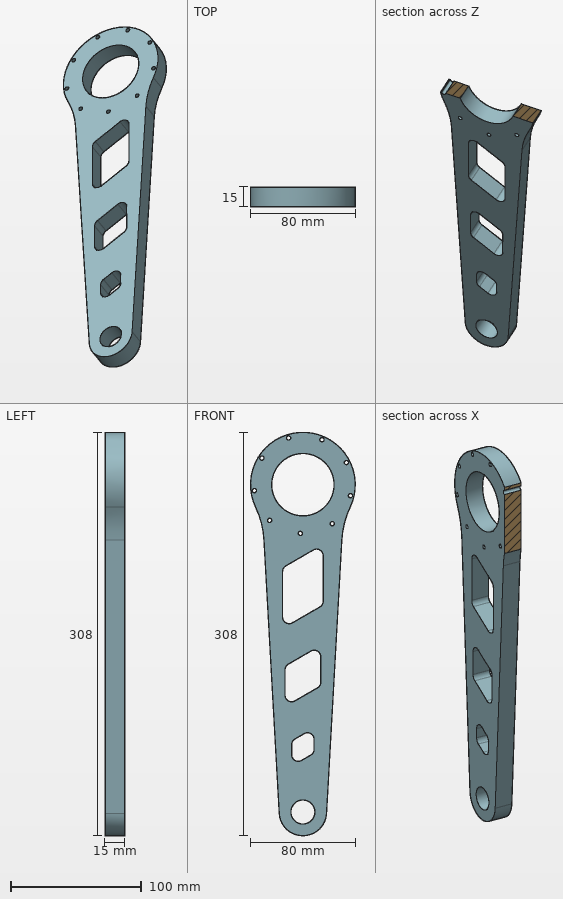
import cadquery as cq
import math

total_length = 308.0
thickness = 15.0
head_radius = 40.0
bore_radius = 23.7
end_radius = 18.2
end_hole_radius = 9.1
end_z = head_radius + end_radius - total_length

taper = math.radians(3.2)
blend_radius = 66.5

ring_hole_count = 9
ring_radius = 37.3
ring_hole_radius = 1.5
ring_start_angle = -93.0

windows = [(-77.5, 30.8, 46.2), (-146.0, 27.0, 30.8), (-200.2, 17.0, 19.0)]
window_slant = math.radians(30)
window_corner_radius = 5.0


def arm_outline():
    """Closed outline of head, blends, tapered arm and rounded end."""
    cos_t = math.cos(taper)
    sin_t = math.sin(taper)
    side_offset = end_radius - end_z * sin_t
    blend_offset = side_offset + blend_radius
    centre_distance = head_radius + blend_radius
    blend_along = -math.sqrt(centre_distance**2 - blend_offset**2)
    blend_x = blend_offset * cos_t + blend_along * sin_t
    blend_z = -blend_offset * sin_t + blend_along * cos_t

    head_x = blend_x * head_radius / centre_distance
    head_z = blend_z * head_radius / centre_distance
    arm_x = blend_x - blend_radius * cos_t
    arm_z = blend_z + blend_radius * sin_t
    foot_x = end_radius * cos_t
    foot_z = end_z - end_radius * sin_t

    head_side_angle = math.atan2(-blend_z, blend_x)
    mid_angle = (head_side_angle + taper) / 2
    mid_x = blend_x - blend_radius * math.cos(mid_angle)
    mid_z = blend_z + blend_radius * math.sin(mid_angle)

    return (
        cq.Workplane("XZ")
        .moveTo(head_x, head_z)
        .threePointArc((0, head_radius), (-head_x, head_z))
        .threePointArc((-mid_x, mid_z), (-arm_x, arm_z))
        .lineTo(-foot_x, foot_z)
        .threePointArc((0, end_z - end_radius), (foot_x, foot_z))
        .lineTo(arm_x, arm_z)
        .threePointArc((mid_x, mid_z), (head_x, head_z))
        .close()
    )


def window_cutter(centre_z, width, side_length):
    """Round-cornered parallelogram prism rising toward +X."""
    half_width = width / 2
    half_side = side_length / 2
    rise = half_width * math.tan(window_slant)
    corners = [
        (-half_width, centre_z - half_side - rise),
        (half_width, centre_z - half_side + rise),
        (half_width, centre_z + half_side + rise),
        (-half_width, centre_z + half_side - rise),
    ]
    prism = cq.Workplane("XZ").polyline(corners).close().extrude(thickness)
    return prism.edges("|Y").fillet(window_corner_radius)


def round_cutter(x, z, radius):
    """Cylinder through the full thickness."""
    return cq.Workplane("XZ").center(x, z).circle(radius).extrude(thickness)


result = arm_outline().extrude(thickness)

result = result.cut(round_cutter(0, 0, bore_radius))
result = result.cut(round_cutter(0, end_z, end_hole_radius))

for index in range(ring_hole_count):
    angle = math.radians(ring_start_angle + index * 360 / ring_hole_count)
    hole_x = ring_radius * math.cos(angle)
    hole_z = ring_radius * math.sin(angle)
    result = result.cut(round_cutter(hole_x, hole_z, ring_hole_radius))

for window in windows:
    result = result.cut(window_cutter(*window))